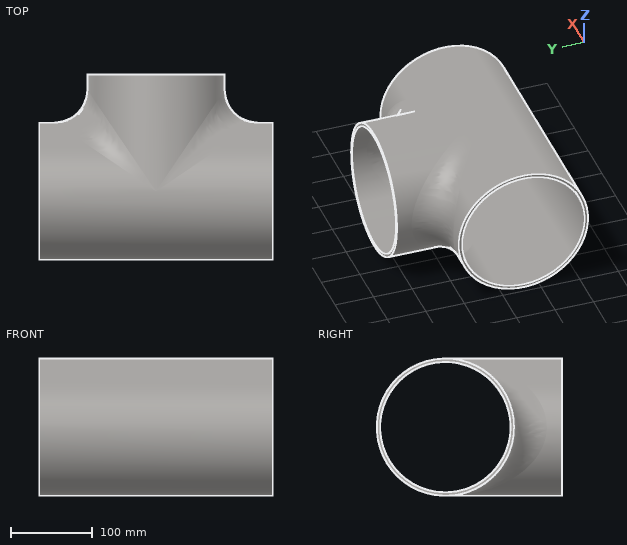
import cadquery as cq
import math

run_length = 286.0
pipe_diameter = 168.2
bore_diameter = 159.3
branch_reach = 143.0
crotch_radius = 40.0

pipe_radius = pipe_diameter / 2
bore_radius = bore_diameter / 2
blend_center = pipe_radius + crotch_radius
slice_angles = range(-80, 81, 10)
sewing_tolerance = 0.02
wedge_reach = 2


def crotch_arc(radius, side, angle):
    """Level quarter arc from run wall to branch wall, on the +X (side 1) or -X (side -1) crotch."""
    half_width = math.cos(math.radians(angle))
    height = radius * math.sin(math.radians(angle))
    far = blend_center * half_width
    near = radius * half_width
    middle = far - (far - near) * math.sqrt(0.5)
    run_end = cq.Vector(side * far, near, height)
    arc_middle = cq.Vector(side * middle, middle, height)
    branch_end = cq.Vector(side * near, far, height)
    return cq.Edge.makeThreePointArc(run_end, arc_middle, branch_end)


def crotch_faces(radius, side):
    """Blend surface of one crotch, narrowing to a point at the top and bottom of the run."""
    lower_tip = cq.Vertex.makeVertex(0, 0, -radius)
    upper_tip = cq.Vertex.makeVertex(0, 0, radius)
    arcs = [crotch_arc(radius, side, angle) for angle in slice_angles]
    return cq.occ_impl.shapes.loft([lower_tip, *arcs, upper_tip]).Faces()


def pipe_faces(radius):
    """Cylinder walls and flat ends of run and branch, without the wedges that the blends replace."""
    run = cq.Workplane("YZ").circle(radius).extrude(run_length / 2, both=True)
    branch = cq.Workplane("XZ").circle(radius).extrude(-branch_reach)
    run_corner = (wedge_reach * blend_center, wedge_reach * radius)
    branch_corner = (wedge_reach * radius, wedge_reach * blend_center)
    wedge = (
        cq.Workplane("XY")
        .polyline([(0, 0), run_corner, branch_corner])
        .close()
        .extrude(pipe_diameter, both=True)
    )
    body = run.union(branch).cut(wedge).cut(wedge.mirror("YZ"))
    walls = body.faces("%CYLINDER").vals()
    ends = body.faces("|X").vals() + body.faces("|Y").vals()
    return walls + ends


def tee(radius):
    """Solid tee whose walls have the given radius."""
    faces = pipe_faces(radius) + crotch_faces(radius, 1) + crotch_faces(radius, -1)
    return cq.Workplane(cq.occ_impl.shapes.solid(faces, tol=sewing_tolerance))


result = tee(pipe_radius).cut(tee(bore_radius))